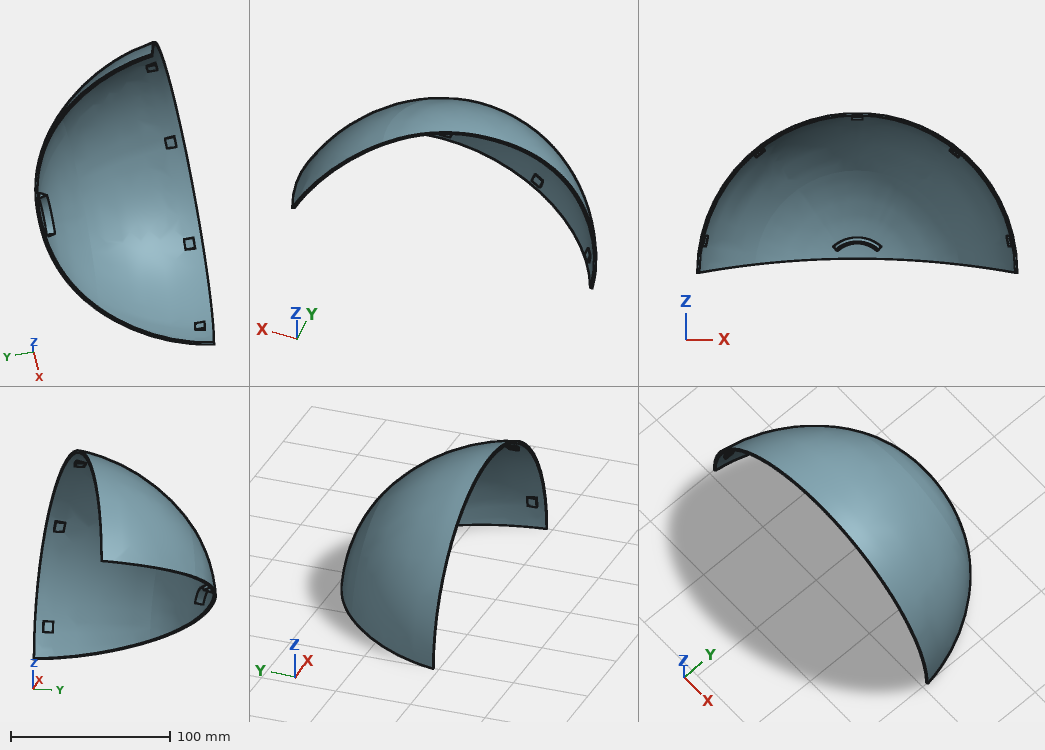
import cadquery as cq
import math


rim_radius = 100.5
dome_height = 92.5
wall = 1.5
cap_radius = 89.0
crown_radius = 4.0
seam_radius = 65.4

trim_rise = 9.0
margin = 20.1

lug_width = 6.8
lug_tip_radius = 96.4
lug_setback = 5.0
lug_length = 6.0
lug_spacing = 39.0
lugs_per_side = 2

ridge_outer_radius = 22.5
ridge_peak_radius = 20.0
ridge_inner_radius = 18.7
ridge_height = 4.5
ridge_half_angle = 42.0

cap_center = (crown_radius, dome_height - cap_radius)
seam_angle = math.asin((seam_radius - crown_radius) / cap_radius)
seam_dir = (math.sin(seam_angle), math.cos(seam_angle))
rim_offset = (rim_radius - cap_center[0], -cap_center[1])
center_shift = (cap_radius**2 - rim_offset[0]**2 - rim_offset[1]**2) / (
    2 * (rim_offset[0] * seam_dir[0] + rim_offset[1] * seam_dir[1] - cap_radius)
)
side_radius = cap_radius + center_shift
side_center = (
    cap_center[0] - center_shift * seam_dir[0],
    cap_center[1] - center_shift * seam_dir[1],
)


def arc_point(center, radius, angle):
    """Point on an arc, with the angle measured from +Y toward +X."""
    return (center[0] + radius * math.sin(angle), center[1] + radius * math.cos(angle))


def dome(inset):
    """Solid dome bounded by the outer surface moved inward by inset."""
    cap = cap_radius - inset
    side = side_radius - inset
    rim_angle = math.acos(-side_center[1] / side)
    profile = (
        cq.Workplane("XY")
        .moveTo(0, 0)
        .lineTo(0, dome_height - inset)
        .lineTo(crown_radius, dome_height - inset)
        .threePointArc(arc_point(cap_center, cap, seam_angle / 2), arc_point(cap_center, cap, seam_angle))
        .threePointArc(
            arc_point(side_center, side, (seam_angle + rim_angle) / 2),
            arc_point(side_center, side, rim_angle),
        )
        .close()
    )
    return profile.revolve(360, (0, 0, 0), (0, 1, 0))


def trim_body():
    """Everything above the shallow arc through the two rim corners."""
    trim_radius = (rim_radius**2 + trim_rise**2) / (2 * trim_rise)
    half_width = rim_radius + margin
    end_z = trim_rise - trim_radius + math.sqrt(trim_radius**2 - half_width**2)
    top_z = rim_radius + margin
    return (
        cq.Workplane("XZ")
        .moveTo(-half_width, end_z)
        .threePointArc((0, trim_rise), (half_width, end_z))
        .lineTo(half_width, top_z)
        .lineTo(-half_width, top_z)
        .close()
        .extrude(-(dome_height + margin))
    )


def lug(angle):
    """Small block that merges into the wall; angle is measured from +Z about Y."""
    block = cq.Workplane("XY").box(
        lug_width, lug_length, rim_radius - lug_tip_radius, centered=(True, False, False)
    )
    return block.translate((0, lug_setback, lug_tip_radius)).rotate((0, 0, 0), (0, 1, 0), angle)


def cap_inside_y(radius):
    """Y of the inner cap surface at a distance from the axis."""
    return cap_center[1] + math.sqrt((cap_radius - wall) ** 2 - (radius - crown_radius) ** 2)


def ridge():
    """Arc-shaped ridge with two sloping faces that meet at a sharp peak."""
    outer_foot_y = cap_inside_y(ridge_outer_radius)
    section = (
        cq.Workplane("YZ")
        .moveTo(dome_height, ridge_outer_radius)
        .lineTo(outer_foot_y, ridge_outer_radius)
        .lineTo(outer_foot_y - ridge_height, ridge_peak_radius)
        .lineTo(cap_inside_y(ridge_inner_radius), ridge_inner_radius)
        .lineTo(dome_height, ridge_inner_radius)
        .close()
    )
    swept = section.revolve(2 * ridge_half_angle, (0, 0, 0), (1, 0, 0))
    return swept.rotate((0, 0, 0), (0, 1, 0), -ridge_half_angle)


outer_dome = dome(0)
details = ridge()
for index in range(-lugs_per_side, lugs_per_side + 1):
    details = details.union(lug(index * lug_spacing))

shell = outer_dome.cut(dome(wall))
result = shell.union(details.intersect(outer_dome)).intersect(trim_body())